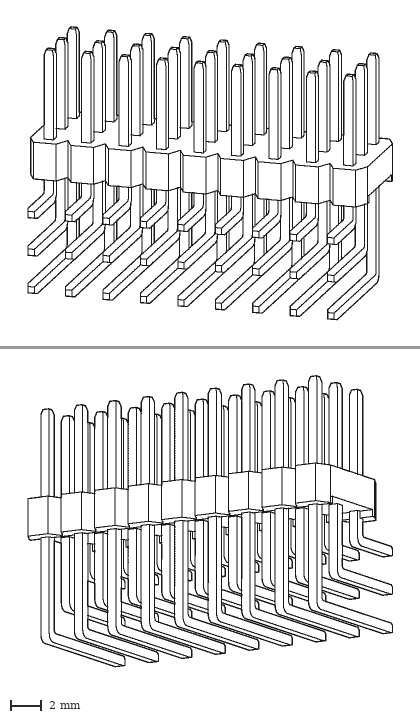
import cadquery as cq

columns = 9
rows = 3
overall_length = 22.85
overall_depth = 10.5
overall_height = 15.4
pitch = overall_length / columns

body_depth = 7.5
body_height = 2.5
notch_depth = 1.0
notch_half_width = 0.5
channel_width = 5.0
channel_depth = 0.45

pin_width = 0.65
pin_rise = 6.01
inner_bend_radius = 0.2
outer_bend_radius = 0.5
tip_length = 0.35
tip_width = 0.43

tail_end_y = body_depth / 2 - overall_depth
lowest_tail_z = pin_rise - overall_height + pin_width / 2


def column_x(column):
    return (column - (columns - 1) / 2) * pitch


def row_y(row):
    """Row 0 is the front row, nearest -Y."""
    return (row - (rows - 1) / 2) * pitch


def edge_points(side):
    """Scalloped long edge on the given side (-1 or +1), running towards +X."""
    edge_y = side * body_depth / 2
    root_y = side * (body_depth / 2 - notch_depth)
    flat_half = pitch / 2 - notch_half_width
    points = [(-overall_length / 2, root_y)]
    for column in range(columns):
        x = column_x(column)
        points.append((x - flat_half, edge_y))
        points.append((x + flat_half, edge_y))
        points.append((x + pitch / 2, root_y))
    return points


def make_body():
    """Scalloped block with a channel along its underside."""
    outline = edge_points(-1) + edge_points(1)[::-1]
    block = cq.Workplane("XY").polyline(outline).close().extrude(-body_height)
    channel = (
        cq.Workplane("XY")
        .workplane(offset=-body_height)
        .rect(overall_length, channel_width)
        .extrude(channel_depth)
    )
    return block.cut(channel)


def make_tip(plane):
    """Tapered pin end growing along the normal of the given plane."""
    return (
        cq.Workplane(plane)
        .rect(pin_width, pin_width)
        .workplane(offset=tip_length)
        .rect(tip_width, tip_width)
        .loft(ruled=True)
    )


def make_pin(row):
    """Bent pin of one row, centred on X = 0."""
    y = row_y(row)
    half = pin_width / 2
    tail_z = lowest_tail_z + (rows - 1 - row) * pitch
    shank_top = pin_rise - tip_length
    tail_root = tail_end_y + tip_length
    outline = [
        (y + half, shank_top),
        (y - half, shank_top),
        (y - half, tail_z + half),
        (tail_root, tail_z + half),
        (tail_root, tail_z - half),
        (y + half, tail_z - half),
    ]
    wire = cq.Workplane("YZ").polyline(outline).close().extrude(half, both=True)
    inner_corner = cq.selectors.NearestToPointSelector((0, y - half, tail_z + half))
    outer_corner = cq.selectors.NearestToPointSelector((0, y + half, tail_z - half))
    wire = wire.edges("|X").edges(inner_corner).fillet(inner_bend_radius)
    wire = wire.edges("|X").edges(outer_corner).fillet(outer_bend_radius)
    top_tip = make_tip(cq.Plane(origin=(0, y, shank_top), normal=(0, 0, 1)))
    tail_tip = make_tip(cq.Plane(origin=(0, tail_root, tail_z), xDir=(1, 0, 0), normal=(0, -1, 0)))
    return wire.union(top_tip).union(tail_tip)


result = make_body()
for row in range(rows):
    pin = make_pin(row)
    for column in range(columns):
        result = result.union(pin.translate((column_x(column), 0, 0)))